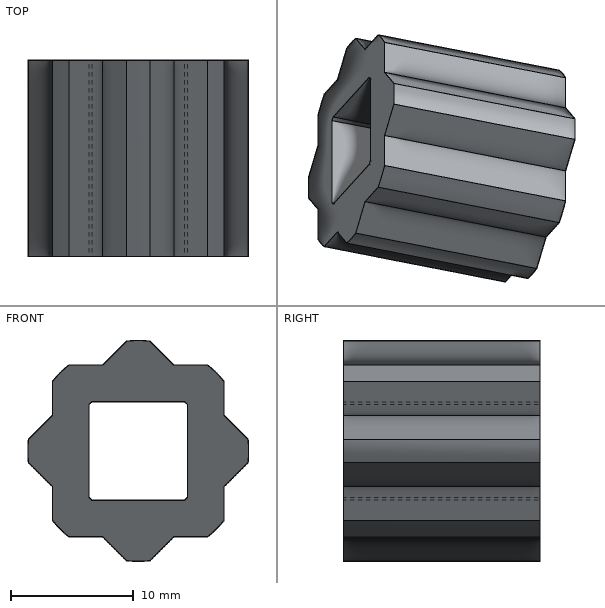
import cadquery as cq

length = 16.0
outer_diameter = 18.0
star_square_side = 14.0
star_turn = 45.0
bore_side = 8.0
bore_diameter = 11.0


def round_bar(diameter):
    """Cylinder centred on the origin, with its axis along Y."""
    return cq.Workplane("XZ").circle(diameter / 2).extrude(length / 2, both=True)


def square_bar(side):
    """Square bar centred on the origin along Y, flats facing X and Z."""
    return cq.Workplane("XZ").rect(side, side).extrude(length / 2, both=True)


def star_bar():
    """Eight-pointed star made of two crossed squares, tips trimmed by the outer circle."""
    upright_square = square_bar(star_square_side)
    turned_square = square_bar(star_square_side).rotate((0, 0, 0), (0, 1, 0), star_turn)
    return upright_square.union(turned_square).intersect(round_bar(outer_diameter))


def bore():
    """Square through-hole whose corners follow a circle slightly smaller than its diagonal."""
    return square_bar(bore_side).intersect(round_bar(bore_diameter))


result = star_bar().cut(bore())